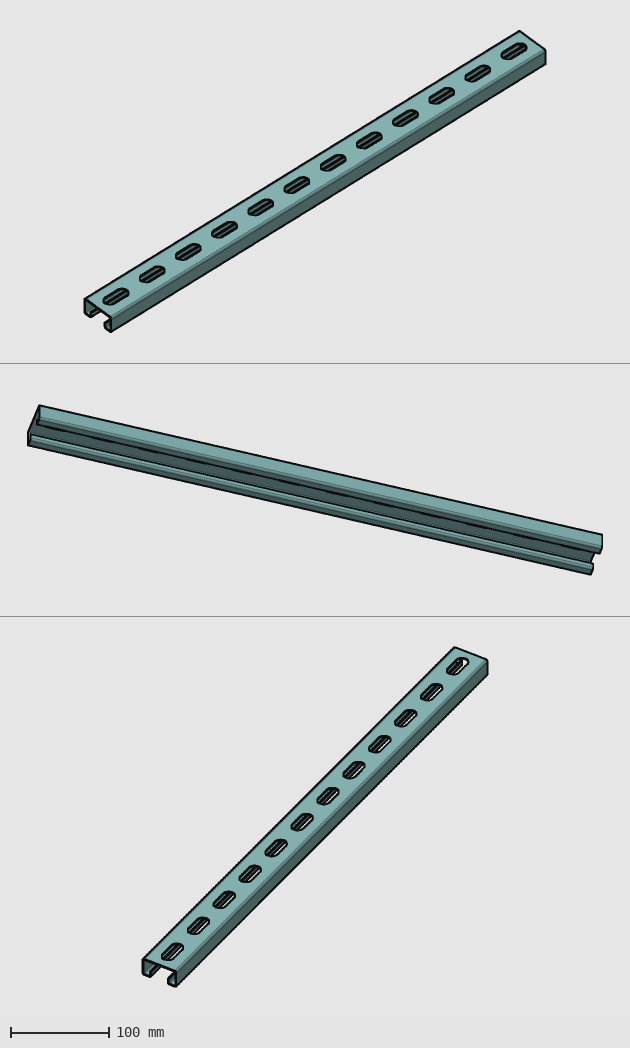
import cadquery as cq

length = 600.0
width = 41.0
height = 21.0
wall = 1.5

outer_bend = 2.5
inner_bend = outer_bend - wall

opening = 20.0
lip_height = 7.0

slot_count = 12
slot_pitch = length / slot_count
slot_length = 30.0
slot_width = 13.0

side_outside = width / 2
side_inside = side_outside - wall
lip_face = opening / 2
lip_back = lip_face + wall
web_underside = height - wall


def both_sides(points):
    """The given (x, z) points followed by their mirror images, in running order."""
    return points + [(-x, z) for x, z in reversed(points)]


def round_bends(body, corners, radius):
    """Round the lengthwise edges that run through the given (x, z) corners."""
    for x, z in corners:
        body = body.edges(cq.NearestToPointSelector((x, 0, z))).fillet(radius)
    return body


def make_channel():
    """Folded channel of even wall thickness with concentric bends."""
    outer_corners = both_sides([(lip_face, 0), (side_outside, 0), (side_outside, height)])
    inner_corners = both_sides([(lip_back, wall), (side_inside, wall), (side_inside, web_underside)])
    lip_tips = [(lip_back, lip_height), (lip_face, lip_height)]
    left_lip_tips = [(-x, z) for x, z in reversed(lip_tips)]

    outline = outer_corners + left_lip_tips + inner_corners[::-1] + lip_tips
    channel = cq.Workplane("XZ").polyline(outline).close().extrude(length / 2, both=True)
    channel = round_bends(channel, outer_corners, outer_bend)
    return round_bends(channel, inner_corners, inner_bend)


def make_slots():
    """Row of evenly spaced round-ended slots as deep as the web."""
    return (
        cq.Workplane("XY")
        .workplane(offset=web_underside)
        .rarray(6, slot_pitch, 1, slot_count)
        .slot2D(slot_length, slot_width, 90)
        .extrude(wall)
    )


result = make_channel().cut(make_slots())